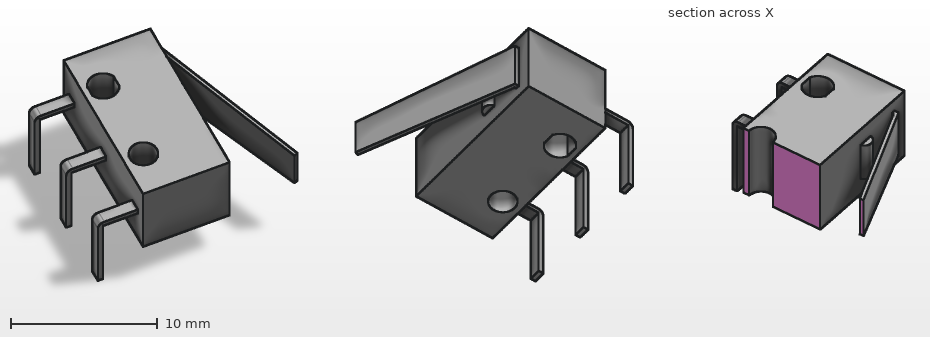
import cadquery as cq
import math

body_length = 12.8
body_depth = 6.51
body_height = 5.8
mid_height = body_height / 2

hole_diameter = 2.0
hole_offset_x = 3.25
hole_offset_y = 1.5
wide_hole_diameter = 2.2

terminal_pitch = 5.09
terminal_width = 0.91
terminal_thickness = 0.4
terminal_reach = 3.0
terminal_drop = 6.2
bend_radius = 0.5

plunger_radius = 0.6
plunger_x = -1.95
plunger_rise = 0.48
plunger_width = 3.0

lever_thickness = 0.3
lever_inset = 1.13
lever_bend_rise = 0.33
lever_end_x = 13.14
overall_depth = 14.5
lever_end_y = overall_depth - terminal_reach
lever_angle = math.radians(21.3)
lever_base_width = 3.8
lever_tip_width = 3.0


def make_body():
    body = cq.Workplane("XY").box(body_length, body_depth, body_height, centered=(True, False, False))
    round_hole = (
        cq.Workplane("XY").center(hole_offset_x, hole_offset_y).circle(hole_diameter / 2).extrude(body_height)
    )
    wide_hole = (
        cq.Workplane("XY").center(-hole_offset_x, hole_offset_y).circle(wide_hole_diameter / 2)
        .extrude(body_height)
    )
    flats = (
        cq.Workplane("XY").center(-hole_offset_x, hole_offset_y).rect(wide_hole_diameter, hole_diameter)
        .extrude(body_height)
    )
    return body.cut(round_hole).cut(wide_hole.intersect(flats))


def make_terminal(center_x):
    top = mid_height + terminal_thickness / 2
    return (
        cq.Workplane("YZ", origin=(center_x, 0, 0))
        .moveTo(0, top)
        .lineTo(-terminal_reach, top)
        .lineTo(-terminal_reach, top - terminal_drop)
        .lineTo(-terminal_reach + terminal_thickness, top - terminal_drop)
        .lineTo(-terminal_reach + terminal_thickness, top - terminal_thickness)
        .lineTo(0, top - terminal_thickness)
        .close()
        .extrude(terminal_width / 2, both=True)
        .edges("|X and <Y and >Z")
        .fillet(bend_radius)
    )


def make_plunger():
    return (
        cq.Workplane("XY", origin=(plunger_x, body_depth + plunger_rise - plunger_radius, mid_height))
        .circle(plunger_radius)
        .extrude(plunger_width / 2, both=True)
    )


def make_lever():
    outer_x = -body_length / 2 + lever_inset
    inner_x = outer_x + lever_thickness
    bend_y = body_depth + lever_bend_rise
    tip_low_x = lever_end_x - body_length / 2
    tip_high_x = tip_low_x - lever_thickness * math.sin(lever_angle)
    tip_low_y = lever_end_y - lever_thickness * math.cos(lever_angle)
    slope = (lever_end_y - bend_y) / (tip_high_x - outer_x)
    inner_bend_y = tip_low_y - slope * (tip_low_x - inner_x)
    strip = (
        cq.Workplane("XY", origin=(0, 0, mid_height))
        .polyline([
            (outer_x, body_depth),
            (outer_x, bend_y),
            (tip_high_x, lever_end_y),
            (tip_low_x, tip_low_y),
            (inner_x, inner_bend_y),
            (inner_x, body_depth),
        ])
        .close()
        .extrude(lever_base_width / 2, both=True)
    )
    taper = (
        cq.Workplane("XZ", origin=(0, body_depth, mid_height))
        .polyline([
            (outer_x, -lever_base_width / 2),
            (tip_low_x, -lever_tip_width / 2),
            (tip_low_x, lever_tip_width / 2),
            (outer_x, lever_base_width / 2),
        ])
        .close()
        .extrude(body_depth - lever_end_y)
    )
    return strip.intersect(taper)


result = make_body().union(make_plunger()).union(make_lever())
for position in (-1, 0, 1):
    result = result.union(make_terminal(position * terminal_pitch))